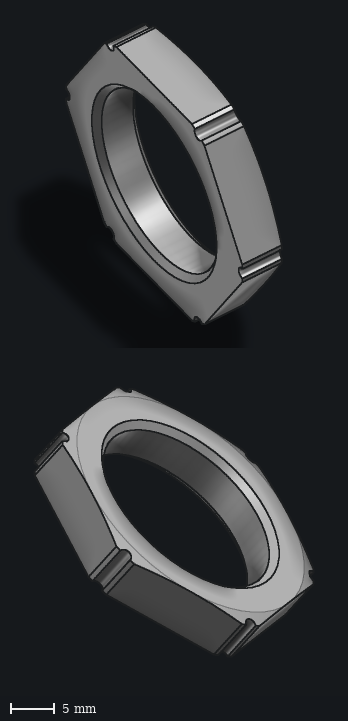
import cadquery as cq
import math

ACROSS_FLATS = 32.0
THICKNESS = 6.0
CORNER_DIAMETER = 35.4
CORNERS = 6

BORE_DIAMETER = 23.376
BORE_CHAMFER_DIAMETER = 25.0
BORE_CHAMFER_ANGLE = 45.0

GROOVE_RADIUS = 0.78

BEVEL_DIAMETER = ACROSS_FLATS
BEVEL_ANGLE = 15.0

corner_radius = CORNER_DIAMETER / 2
bore_radius = BORE_DIAMETER / 2
bore_chamfer_radius = BORE_CHAMFER_DIAMETER / 2
bevel_radius = BEVEL_DIAMETER / 2
bore_chamfer_depth = (bore_chamfer_radius - bore_radius) * math.tan(math.radians(BORE_CHAMFER_ANGLE))
bevel_depth = (corner_radius - bevel_radius) * math.tan(math.radians(BEVEL_ANGLE))


def hexagon_prism():
    """Full hexagon with sharp corners on the X axis and flats facing +Z and -Z."""
    across_corners = ACROSS_FLATS / math.cos(math.pi / CORNERS)
    return cq.Workplane("XZ").polygon(CORNERS, across_corners).extrude(-THICKNESS)


def turned_ring():
    """Ring about Y: bore chamfered at both ends, round outside and a bevel at the back."""
    profile = [
        (bore_chamfer_radius, 0),
        (corner_radius, 0),
        (corner_radius, THICKNESS - bevel_depth),
        (bevel_radius, THICKNESS),
        (bore_chamfer_radius, THICKNESS),
        (bore_radius, THICKNESS - bore_chamfer_depth),
        (bore_radius, bore_chamfer_depth),
    ]
    return cq.Workplane("XY").polyline(profile).close().revolve(360, (0, 0), (0, 1))


def corner_grooves():
    """One round cutter per corner, centred on the turned outside."""
    return (
        cq.Workplane("XZ")
        .polarArray(corner_radius, 0, 360, CORNERS)
        .circle(GROOVE_RADIUS)
        .extrude(-THICKNESS)
    )


result = hexagon_prism().intersect(turned_ring()).cut(corner_grooves())